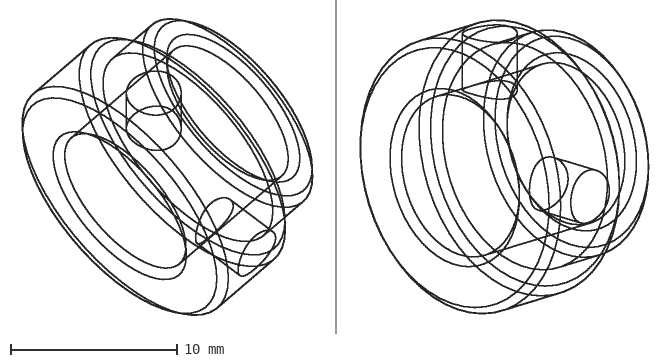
import cadquery as cq

collar_diameter = 17.0
hub_diameter = 14.0
bore_diameter = 10.0
total_length = 10.0
collar_length = 6.0
edge_chamfer = 0.5
screw_hole_diameter = 3.3

collar_radius = collar_diameter / 2
hub_radius = hub_diameter / 2
bore_radius = bore_diameter / 2
screw_hole_y = collar_length / 2


def make_ring():
    """Revolve the stepped half-section, with its chamfered edges, about Y."""
    half_section = (
        cq.Workplane("XY")
        .moveTo(bore_radius + edge_chamfer, 0)
        .lineTo(collar_radius - edge_chamfer, 0)
        .lineTo(collar_radius, edge_chamfer)
        .lineTo(collar_radius, collar_length - edge_chamfer)
        .lineTo(collar_radius - edge_chamfer, collar_length)
        .lineTo(hub_radius, collar_length)
        .lineTo(hub_radius, total_length - edge_chamfer)
        .lineTo(hub_radius - edge_chamfer, total_length)
        .lineTo(bore_radius + edge_chamfer, total_length)
        .lineTo(bore_radius, total_length - edge_chamfer)
        .lineTo(bore_radius, edge_chamfer)
        .close()
    )
    return half_section.revolve(360, (0, 0, 0), (0, 1, 0))


def make_screw_hole(direction):
    """Radial cutter from the collar axis out through one side of the wall."""
    cutter = cq.Solid.makeCylinder(
        screw_hole_diameter / 2,
        collar_diameter,
        cq.Vector(0, screw_hole_y, 0),
        cq.Vector(*direction),
    )
    return cq.Workplane(obj=cutter)


result = make_ring()

for hole_direction in [(1, 0, 0), (0, 0, 1)]:
    result = result.cut(make_screw_hole(hole_direction))